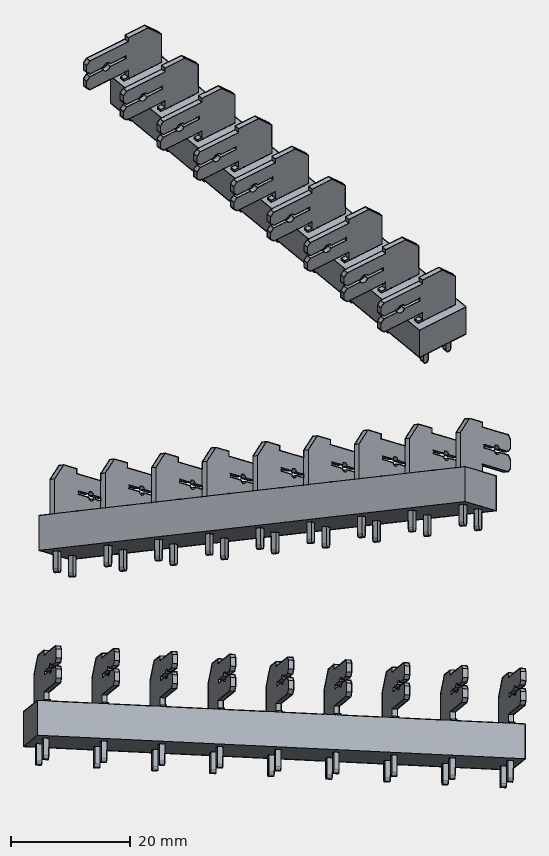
import cadquery as cq
import math

HOUSING_LENGTH = 84.0
HOUSING_DEPTH = 9.9
HOUSING_HEIGHT = 6.0

CONTACT_COUNT = 9
CONTACT_PITCH = 10.0
CONTACT_THICKNESS = 0.9
TOTAL_DEPTH = 16.9
TOTAL_HEIGHT = 18.5
LEG_LENGTH = 3.5

PLATE_BACK = 1.0
PLATE_FRONT = 8.1
PLATE_CHAMFER = 2.85
FOOT_FRONT = 9.0
FOOT_HEIGHT = 0.4

TINE_DROP = 0.8
TINE_SPAN = 6.3
TINE_TIP_CHAMFER = 0.7
SLOT_WIDTH = 0.6
SLOT_START = 8.6
EYE_DISTANCE = 12.6
EYE_DIAMETER = 1.6

LEG_WIDTH = 1.0
LEG_CENTRES = (2.5, 7.3)
LEG_TIP_ARC_RADIUS = 0.75
LEG_TIP_HEIGHT = 0.6

LEG_BOTTOM = -LEG_LENGTH
CONTACT_TOP = LEG_BOTTOM + TOTAL_HEIGHT
TINE_TOP = CONTACT_TOP - TINE_DROP
TINE_MIDDLE = TINE_TOP - TINE_SPAN / 2
TINE_HEIGHT = (TINE_SPAN - SLOT_WIDTH) / 2


def sheet_at(x):
    """YZ plane whose extrusion by the contact thickness is centred on x."""
    return cq.Workplane("YZ", origin=(x - CONTACT_THICKNESS / 2, 0, 0))


def contact_x(index):
    return (index - (CONTACT_COUNT - 1) / 2) * CONTACT_PITCH


def make_plate(x):
    """Upright plate with a sloped back corner and a low foot at the front."""
    foot_top = HOUSING_HEIGHT + FOOT_HEIGHT
    outline = [
        (-PLATE_BACK, HOUSING_HEIGHT),
        (-FOOT_FRONT, HOUSING_HEIGHT),
        (-FOOT_FRONT, foot_top),
        (-PLATE_FRONT, foot_top),
        (-PLATE_FRONT, CONTACT_TOP),
        (-PLATE_BACK - PLATE_CHAMFER, CONTACT_TOP),
        (-PLATE_BACK, CONTACT_TOP - PLATE_CHAMFER),
    ]
    return sheet_at(x).polyline(outline).close().extrude(CONTACT_THICKNESS)


def make_tine_root(x):
    """Solid strip between the plate and the closed end of the slot."""
    root_length = SLOT_START - PLATE_FRONT
    root_centre = -(SLOT_START + PLATE_FRONT) / 2
    return sheet_at(x).center(root_centre, TINE_MIDDLE).rect(root_length, TINE_SPAN).extrude(CONTACT_THICKNESS)


def make_tine(x, side):
    """One tine with a chamfered tip; side is +1 for the upper tine and -1 for the lower."""
    length = TOTAL_DEPTH - PLATE_FRONT
    centre_y = -(TOTAL_DEPTH + PLATE_FRONT) / 2
    centre_z = TINE_MIDDLE + side * (SLOT_WIDTH + TINE_HEIGHT) / 2
    tine = sheet_at(x).center(centre_y, centre_z).rect(length, TINE_HEIGHT).extrude(CONTACT_THICKNESS)
    return tine.faces("<Y").edges("|X").chamfer(TINE_TIP_CHAMFER)


def make_eye(x):
    """Cutter for the round eye that widens the slot."""
    return sheet_at(x).center(-EYE_DISTANCE, TINE_MIDDLE).circle(EYE_DIAMETER / 2).extrude(CONTACT_THICKNESS)


def arc_inset(drop):
    """Distance a leg side has curved inward at a given drop below the start of its tip arc."""
    return LEG_TIP_ARC_RADIUS - math.sqrt(LEG_TIP_ARC_RADIUS**2 - drop**2)


def make_leg(x, distance):
    """Leg running from the plate down through the housing to its narrowed tip."""
    half_width = LEG_WIDTH / 2
    arc_top = LEG_BOTTOM + LEG_TIP_HEIGHT
    tip_half_width = half_width - arc_inset(LEG_TIP_HEIGHT)
    middle_half_width = half_width - arc_inset(LEG_TIP_HEIGHT / 2)
    middle_level = arc_top - LEG_TIP_HEIGHT / 2
    leg = (
        sheet_at(x)
        .center(-distance, 0)
        .moveTo(-half_width, HOUSING_HEIGHT)
        .lineTo(-half_width, arc_top)
        .threePointArc((-middle_half_width, middle_level), (-tip_half_width, LEG_BOTTOM))
        .lineTo(tip_half_width, LEG_BOTTOM)
        .threePointArc((middle_half_width, middle_level), (half_width, arc_top))
        .lineTo(half_width, HOUSING_HEIGHT)
        .close()
    )
    return leg.extrude(CONTACT_THICKNESS)


def make_contact(x):
    contact = make_plate(x).union(make_tine_root(x))
    for side in (1, -1):
        contact = contact.union(make_tine(x, side))
    for distance in LEG_CENTRES:
        contact = contact.union(make_leg(x, distance))
    return contact.cut(make_eye(x))


def make_housing():
    """Bar with a through hole for every leg."""
    bar = cq.Workplane("XY").box(HOUSING_LENGTH, HOUSING_DEPTH, HOUSING_HEIGHT, centered=(True, True, False))
    bar = bar.translate((0, -HOUSING_DEPTH / 2, 0))
    hole_centres = [
        (contact_x(index), -distance)
        for index in range(CONTACT_COUNT)
        for distance in LEG_CENTRES
    ]
    holes = cq.Workplane("XY").pushPoints(hole_centres).rect(CONTACT_THICKNESS, LEG_WIDTH).extrude(HOUSING_HEIGHT)
    return bar.cut(holes)


housing = make_housing()
contacts = [make_contact(contact_x(index)) for index in range(CONTACT_COUNT)]

result = cq.Compound.makeCompound([housing.val(), *[contact.val() for contact in contacts]])